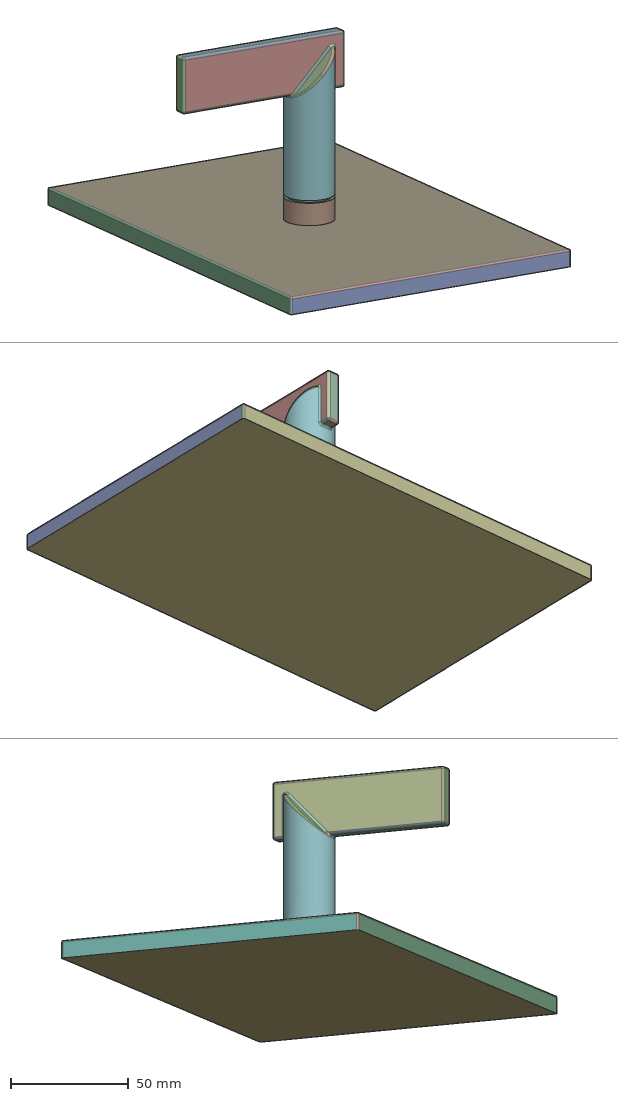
import cadquery as cq

plate_length = 196.8
plate_height = 139.8
plate_thickness = 7.7
plate_edge_radius = 0.8

post_radius = 11.0
collar_top_z = 17.5
groove_height = 1.2
groove_depth = 1.5
post_base_z = collar_top_z + groove_height

slant_low_z = 63.4
slant_middle_z = slant_low_z + post_radius
slant_rim_radius = 1.0

overall_height = 89.2
blade_width = 6.3
blade_depth = 25.0
blade_back_y = 16.0
blade_front_y = -64.8
blade_edge_radius = 1.08
blade_corner_radius = 1.0


def make_plate():
    plate = cq.Workplane("XY").box(plate_length, plate_height, plate_thickness, centered=(True, True, False))
    return plate.edges("|Z or >Z").fillet(plate_edge_radius)


def make_cylinder(radius, bottom_z, top_z):
    return cq.Workplane("XY").workplane(offset=bottom_z).circle(radius).extrude(top_z - bottom_z)


def make_post():
    """Round post with a 45 degree top that faces the long end of the blade."""
    post = make_cylinder(post_radius, post_base_z, overall_height)
    reach = 2 * post_radius
    cutter = (
        cq.Workplane("YZ")
        .moveTo(-reach, slant_middle_z - reach)
        .lineTo(reach, slant_middle_z + reach)
        .lineTo(-reach, slant_middle_z + reach)
        .close()
        .extrude(reach, both=True)
    )
    return post.cut(cutter).faces(">Z").edges().fillet(slant_rim_radius)


def make_blade():
    blade_length = blade_back_y - blade_front_y
    blade = cq.Workplane("XY").box(blade_width, blade_length, blade_depth, centered=(True, False, False))
    blade = blade.edges().fillet(blade_edge_radius)
    return blade.translate((0, blade_front_y, overall_height - blade_depth))


def make_handle():
    """Post and blade joined, with a fillet where the blade sides leave the slanted face."""
    handle = make_post().union(make_blade())
    slant_direction = cq.Vector(0, 1, 1)
    return handle.edges(cq.selectors.ParallelDirSelector(slant_direction)).fillet(blade_corner_radius)


collar = make_cylinder(post_radius, plate_thickness, collar_top_z)
neck = make_cylinder(post_radius - groove_depth, collar_top_z, post_base_z)
result = make_plate().union(collar).union(neck).union(make_handle())